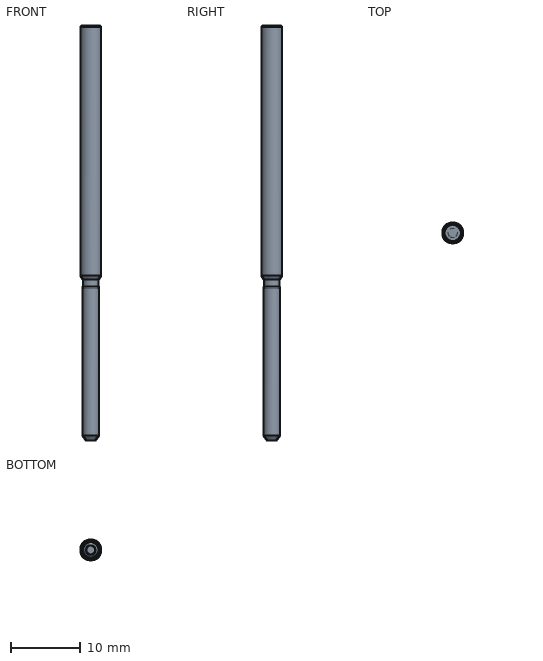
import cadquery as cq

total_length = 60.0
barrel_diameter = 3.0
pin_diameter = 2.4
neck_diameter = 2.3

barrel_bottom = 23.3
pin_top = 22.25

barrel_top_bevel_width = 0.3
barrel_top_bevel_height = 0.25
barrel_bottom_bevel_height = 0.55
pin_top_bevel_height = 0.3
tip_diameter = 1.3
tip_height = 0.7

barrel_radius = barrel_diameter / 2
pin_radius = pin_diameter / 2
neck_radius = neck_diameter / 2
tip_radius = tip_diameter / 2


def turned_body(profile):
    """Revolve a closed (radius, height) profile around the Z axis."""
    return cq.Workplane("XZ").polyline(profile).close().revolve(360, (0, 0), (0, 1))


def make_barrel():
    """Thick upper rod, beveled at both ends, with a short neck that rests on the pin."""
    return turned_body([
        (0, pin_top),
        (neck_radius, pin_top),
        (neck_radius, barrel_bottom),
        (barrel_radius, barrel_bottom + barrel_bottom_bevel_height),
        (barrel_radius, total_length - barrel_top_bevel_height),
        (barrel_radius - barrel_top_bevel_width, total_length),
        (0, total_length),
    ])


def make_pin():
    """Thin lower pin with a tapered tip and a beveled upper end."""
    return turned_body([
        (0, 0),
        (tip_radius, 0),
        (pin_radius, tip_height),
        (pin_radius, pin_top - pin_top_bevel_height),
        (neck_radius, pin_top),
        (0, pin_top),
    ])


barrel = make_barrel()
pin = make_pin()

result = cq.Compound.makeCompound([barrel.val(), pin.val()])